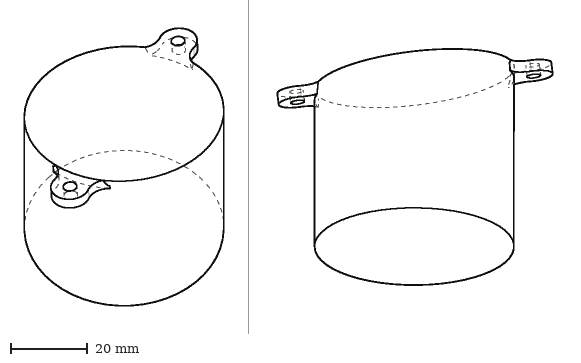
import cadquery as cq
import math

body_radius = 26.0
axis_height = 47.55
slope_angle = 10.0

ear_thickness = 3.0
hole_offset = 21.9
ear_radius = 5.0
hole_radius = 1.8
neck_radius = ear_radius

slope = math.radians(slope_angle)
top_plane = cq.Plane(
    origin=(0, 0, axis_height),
    xDir=(math.cos(slope), 0, math.sin(slope)),
    normal=(-math.sin(slope), 0, math.cos(slope)),
)


def make_cylinder():
    """Vertical cylinder with everything above the sloping face removed."""
    blank_height = 2 * axis_height
    waste_size = 4 * body_radius
    blank = cq.Workplane("XY").circle(body_radius).extrude(blank_height)
    waste = cq.Workplane(top_plane).rect(waste_size, waste_size).extrude(blank_height)
    return blank.cut(waste)


def make_ear_plate(side):
    """Ear plate reaching in to the axis; side is +1 for the +X, -Y ear and -1 for its opposite."""
    hole_distance = hole_offset * math.sqrt(2)
    body_reach = body_radius + neck_radius
    ear_reach = ear_radius + neck_radius
    arc_along = (body_reach**2 + hole_distance**2 - ear_reach**2) / (2 * hole_distance)
    arc_across = math.sqrt(body_reach**2 - arc_along**2)

    root_along = arc_along * body_radius / body_reach
    root_across = arc_across * body_radius / body_reach
    blend_along = hole_distance + (arc_along - hole_distance) * ear_radius / ear_reach
    blend_across = arc_across * ear_radius / ear_reach

    root_angle = math.atan2(root_across - arc_across, root_along - arc_along)
    blend_angle = math.atan2(blend_across - arc_across, blend_along - arc_along)
    mid_angle = (root_angle + blend_angle) / 2
    mid_along = arc_along + neck_radius * math.cos(mid_angle)
    mid_across = arc_across + neck_radius * math.sin(mid_angle)

    def at(along, across):
        x = (along - across) / math.sqrt(2)
        y = (along + across) / math.sqrt(2)
        return (side * x, -side * y)

    plate = (
        cq.Workplane(top_plane)
        .lineTo(*at(root_along, -root_across))
        .threePointArc(at(mid_along, -mid_across), at(blend_along, -blend_across))
        .threePointArc(at(hole_distance + ear_radius, 0), at(blend_along, blend_across))
        .threePointArc(at(mid_along, mid_across), at(root_along, root_across))
        .close()
        .extrude(-ear_thickness)
    )
    hole = (
        cq.Workplane(top_plane)
        .center(*at(hole_distance, 0))
        .circle(hole_radius)
        .extrude(-ear_thickness)
    )
    return plate.cut(hole)


cylinder = make_cylinder()

housing = cylinder.union(make_ear_plate(-1))

high_ear = make_ear_plate(1).cut(cylinder)

result = cq.Compound.makeCompound([housing.solids().val(), high_ear.solids().val()])